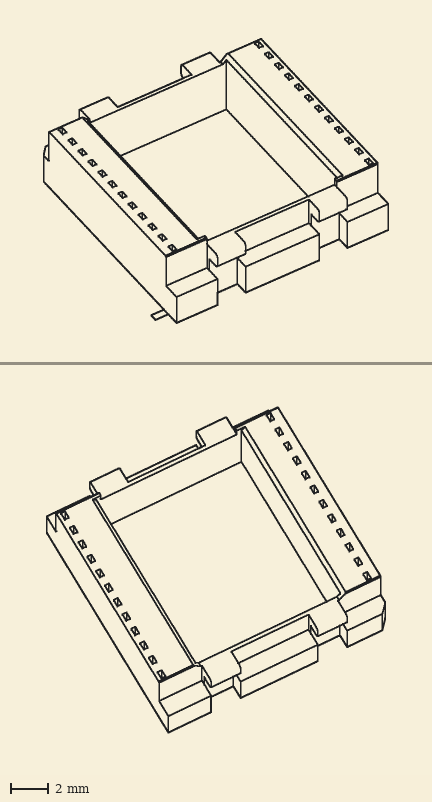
import cadquery as cq

TOTAL_LENGTH = 14.05
BODY_WIDTH = 13.7
BODY_LENGTH = 13.47
BODY_HEIGHT = 4.07
HALF_WIDTH = BODY_WIDTH / 2
HALF_LENGTH = BODY_LENGTH / 2
CORE_WIDTH = 11.62
CORE_EDGE_CHAMFER = 0.05
FOOT_HEIGHT = 1.91
SIDE_WALL_HEIGHT = 3.64
CORNER_CUT_X = 0.53
CORNER_CUT_Y = 0.46

POCKET_WIDTH = 11.15
POCKET_LENGTH = 8.82
FLOOR_THICKNESS = 0.22
BEVEL_START_Y = 4.64
BEVEL_DEPTH = BODY_HEIGHT - SIDE_WALL_HEIGHT

TAB_INNER_Y = 2.35
TAB_OUTER_Y = 4.13
TAB_UNDERSIDE = 2.73
TAB_EDGE_RADIUS = 0.2
NECK_WIDTH = 12.08

SLOT_COUNT = 12
SLOT_ROW_SPAN = 10.89
SLOT_PITCH = SLOT_ROW_SPAN / (SLOT_COUNT - 1)
SLOT_WIDTH = 0.44
SLOT_LENGTH = 0.25
BACK_SLOT_Y = 6.39
FRONT_SLOT_Y = -6.1

LEAD_X = SLOT_ROW_SPAN / 2
LEAD_DROP = 0.42
LEAD_THICKNESS = 0.01
LEAD_OVERHANG = TOTAL_LENGTH - BODY_LENGTH
LEAD_TUCK = 0.31
STEM_SIZE = 0.01


def box(x_min, x_max, y_min, y_max, z_min, z_max):
    """Axis-aligned block between the given limits."""
    return (
        cq.Workplane("XY")
        .box(x_max - x_min, y_max - y_min, z_max - z_min, centered=False)
        .translate((x_min, y_min, z_min))
    )


def centred_box(width, y_min, y_max, z_min, z_max):
    """Block that is symmetric about the YZ plane."""
    return box(-width / 2, width / 2, y_min, y_max, z_min, z_max)


def make_housing():
    """Stepped block: a wide foot, a narrower core and a lowered middle."""
    foot = centred_box(BODY_WIDTH, -HALF_LENGTH, HALF_LENGTH, 0, FOOT_HEIGHT)
    corner = (
        cq.Workplane("XY")
        .moveTo(-HALF_WIDTH, -HALF_LENGTH)
        .lineTo(-HALF_WIDTH + CORNER_CUT_X, -HALF_LENGTH)
        .lineTo(-HALF_WIDTH, -HALF_LENGTH + CORNER_CUT_Y)
        .close()
        .extrude(FOOT_HEIGHT)
    )
    core = centred_box(CORE_WIDTH, -HALF_LENGTH, HALF_LENGTH, 0, BODY_HEIGHT)
    core = core.edges("|Y and >Z").chamfer(CORE_EDGE_CHAMFER)
    middle = centred_box(BODY_WIDTH, -TAB_OUTER_Y, TAB_OUTER_Y, SIDE_WALL_HEIGHT, BODY_HEIGHT)
    return foot.cut(corner).union(core).cut(middle)


def add_latches(body):
    """Notch the foot and add a neck with a rounded tab at each end, front and back."""
    for y_min in (-TAB_OUTER_Y, TAB_INNER_Y):
        y_max = y_min + TAB_OUTER_Y - TAB_INNER_Y
        notch = centred_box(BODY_WIDTH, y_min, y_max, 0, FOOT_HEIGHT)
        neck = centred_box(NECK_WIDTH, y_min, y_max, 0, SIDE_WALL_HEIGHT)
        tab = centred_box(BODY_WIDTH, y_min, y_max, TAB_UNDERSIDE, SIDE_WALL_HEIGHT)
        tab = tab.edges("|Y").fillet(TAB_EDGE_RADIUS)
        body = body.cut(notch).union(neck).union(tab)
    return body


def cut_pocket(body):
    """Cut the pocket and the sloped lead-in, which runs out through the -X wall."""
    half_pocket = POCKET_LENGTH / 2
    pocket = centred_box(POCKET_WIDTH, -half_pocket, half_pocket, FLOOR_THICKNESS, BODY_HEIGHT)
    bevel_end_y = BEVEL_START_Y - BEVEL_DEPTH
    bevel = (
        cq.Workplane("YZ", origin=(-HALF_WIDTH, 0, 0))
        .moveTo(-BEVEL_START_Y, BODY_HEIGHT)
        .lineTo(-bevel_end_y, SIDE_WALL_HEIGHT)
        .lineTo(bevel_end_y, SIDE_WALL_HEIGHT)
        .lineTo(BEVEL_START_Y, BODY_HEIGHT)
        .close()
        .extrude(HALF_WIDTH + POCKET_WIDTH / 2)
    )
    return body.cut(pocket).cut(bevel)


def cut_contact_slots(body):
    """Cut a row of through slots in each rail."""
    for row_y in (FRONT_SLOT_Y, BACK_SLOT_Y):
        slots = (
            cq.Workplane("XY")
            .center(0, row_y)
            .rarray(SLOT_PITCH, 0.14, SLOT_COUNT, 1)
            .rect(SLOT_WIDTH, SLOT_LENGTH)
            .extrude(BODY_HEIGHT)
        )
        body = body.cut(slots)
    return body


def add_lead(body):
    """Add the flat lead under the last front slot."""
    lead_left = LEAD_X - SLOT_WIDTH / 2
    lead_right = LEAD_X + SLOT_WIDTH / 2
    inner_y = -HALF_LENGTH + LEAD_TUCK
    outer_y = -HALF_LENGTH - LEAD_OVERHANG
    lead = box(lead_left, lead_right, outer_y, inner_y, -LEAD_DROP, -LEAD_DROP + LEAD_THICKNESS)
    stem = box(lead_right - STEM_SIZE, lead_right, inner_y - STEM_SIZE, inner_y, -LEAD_DROP, 0)
    return body.union(lead).union(stem)


result = make_housing()
result = add_latches(result)
result = cut_pocket(result)
result = cut_contact_slots(result)
result = add_lead(result)